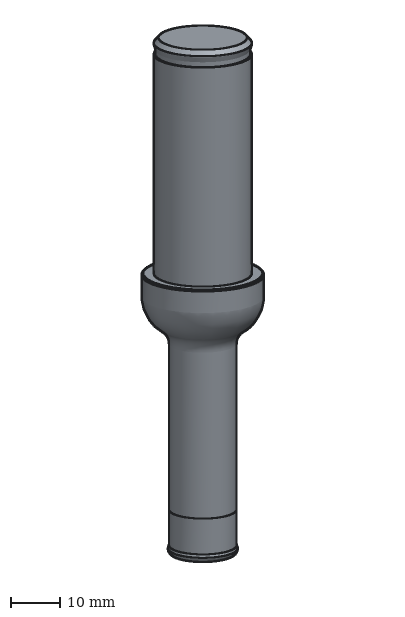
import cadquery as cq
import math

TOTAL_LENGTH = 110.0
JOINT_Z = 10.0

SHANK_RADIUS = 20.0 / 2
TOP_CHAMFER_WIDTH = 1.0
TOP_CHAMFER_HEIGHT = 1.1
TOP_LAND = 0.3
GROOVE_DEPTH = 0.3
GROOVE_TOP_Z = 107.5
GROOVE_BOTTOM_Z = 106.5

COLLAR_RADIUS = 25.0 / 2
COLLAR_TOP_Z = 60.1
COLLAR_CHAMFER = 0.3
SHOULDER_START_Z = 55.1
SHOULDER_RADIUS = 7.9
NECK_FILLET = 3.8

STEM_RADIUS = 13.9 / 2
RIM_RADIUS = 7.2
RIM_TOP_Z = 2.4
RIM_EDGE_Z = 1.8
RIM_EDGE_RADIUS = 1.2
END_FACE_RADIUS = 3.0


def revolve_profile(profile):
    """Revolve a closed radius-height profile around the Z axis."""
    return profile.close().revolve(360, (0, 0, 0), (0, 1, 0))


def arc_point(center_r, center_z, radius, angle):
    """Point on a circle in the radius-height plane."""
    return center_r + radius * math.cos(angle), center_z + radius * math.sin(angle)


def make_pin():
    """Shank, collar and upper stem, down to the flat joint face."""
    shoulder_r = COLLAR_RADIUS - SHOULDER_RADIUS
    neck_r = STEM_RADIUS + NECK_FILLET
    center_distance = SHOULDER_RADIUS + NECK_FILLET
    tangent_angle = math.acos((neck_r - shoulder_r) / center_distance)
    neck_z = SHOULDER_START_Z - center_distance * math.sin(tangent_angle)

    shoulder_mid = arc_point(shoulder_r, SHOULDER_START_Z, SHOULDER_RADIUS, -tangent_angle / 2)
    shoulder_end = arc_point(shoulder_r, SHOULDER_START_Z, SHOULDER_RADIUS, -tangent_angle)
    neck_mid = arc_point(neck_r, neck_z, NECK_FILLET, math.pi - tangent_angle / 2)

    groove_radius = SHANK_RADIUS - GROOVE_DEPTH
    land_top_z = TOTAL_LENGTH - TOP_CHAMFER_HEIGHT
    profile = (
        cq.Workplane("XZ")
        .moveTo(0, JOINT_Z)
        .lineTo(STEM_RADIUS, JOINT_Z)
        .lineTo(STEM_RADIUS, neck_z)
        .threePointArc(neck_mid, shoulder_end)
        .threePointArc(shoulder_mid, (COLLAR_RADIUS, SHOULDER_START_Z))
        .lineTo(COLLAR_RADIUS, COLLAR_TOP_Z - COLLAR_CHAMFER)
        .lineTo(COLLAR_RADIUS - COLLAR_CHAMFER, COLLAR_TOP_Z)
        .lineTo(SHANK_RADIUS, COLLAR_TOP_Z)
        .lineTo(SHANK_RADIUS, GROOVE_BOTTOM_Z)
        .lineTo(groove_radius, GROOVE_BOTTOM_Z)
        .lineTo(groove_radius, GROOVE_TOP_Z)
        .lineTo(SHANK_RADIUS, land_top_z - TOP_LAND)
        .lineTo(SHANK_RADIUS, land_top_z)
        .lineTo(SHANK_RADIUS - TOP_CHAMFER_WIDTH, TOTAL_LENGTH)
        .lineTo(0, TOTAL_LENGTH)
    )
    return revolve_profile(profile)


def make_tip():
    """Stem end with a flared rim and a shallow conical underside around a flat end face."""
    edge_center_r = RIM_RADIUS - RIM_EDGE_RADIUS
    edge_mid = arc_point(edge_center_r, RIM_EDGE_Z, RIM_EDGE_RADIUS, -math.pi / 4)

    profile = (
        cq.Workplane("XZ")
        .moveTo(0, 0)
        .lineTo(END_FACE_RADIUS, 0)
        .lineTo(edge_center_r, RIM_EDGE_Z - RIM_EDGE_RADIUS)
        .threePointArc(edge_mid, (RIM_RADIUS, RIM_EDGE_Z))
        .lineTo(STEM_RADIUS, RIM_TOP_Z)
        .lineTo(STEM_RADIUS, JOINT_Z)
        .lineTo(0, JOINT_Z)
    )
    return revolve_profile(profile)


pin = make_pin()
tip = make_tip()
result = cq.Compound.makeCompound([pin.val(), tip.val()])